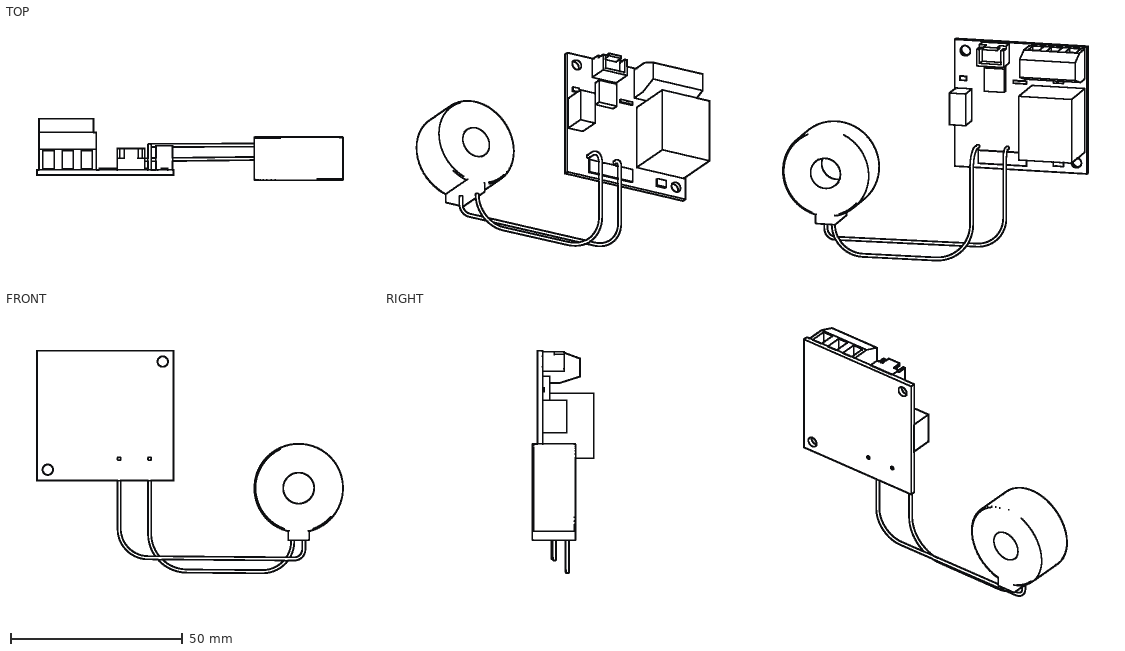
import cadquery as cq
import math


overall_width = 89.54
overall_depth = 18.02
overall_height = 65.12

board_width = 40.0
board_height = 38.0
board_thickness = 1.5
mount_hole_diameter = 3.0
mount_hole_inset = 3.2

relay_width = 16.0
relay_depth = 15.0
relay_height = 19.1
relay_left = 0.6
relay_bottom = 6.5

terminal_width = 16.8
terminal_left = 0.6
terminal_top = board_height - 0.5
terminal_height = 9.0
terminal_depth = 11.0
terminal_top_flat = 6.1
terminal_bottom_flat = 5.0
terminal_top_drop = 1.8
terminal_bottom_rise = 1.9
wire_entry_count = 3
wire_entry_pitch = 5.6
wire_entry_width = 3.3
wire_entry_height = 5.2
wire_entry_gap = 0.4
wire_entry_depth = 6.0

socket_left = 23.5
socket_width = 8.1
socket_depth = 6.35
socket_height = 5.75
socket_top = board_height - 0.3
socket_wall = 0.8
socket_floor = 3.4
socket_notch_width = 2.0

trimmer_left = 34.8
trimmer_width = 4.9
trimmer_depth = 7.1
trimmer_height = 9.5
trimmer_bottom = 14.0

chips = [
    (24.5, 23.5, 6.0, 7.0, 2.15),
    (7.0, 26.9, 3.0, 1.2, 0.85),
    (18.2, 26.0, 4.0, 0.8, 0.55),
    (7.0, 2.0, 3.0, 2.1, 0.85),
    (18.2, 1.4, 14.6, 3.9, 0.55),
    (36.3, 26.0, 2.0, 1.2, 0.55),
]

ring_diameter = 26.0
ring_bore = 9.0
ring_length = 12.7
ring_front = board_thickness + relay_depth - overall_depth
ring_x = overall_width - ring_diameter / 2
ring_z = -2.2
tab_width = 6.2
tab_reach = 15.3
ring_edge_fillet = 0.4

lead_diameter = 1.0
lead_hole_z = 6.4
lead_tab_depth = 3.1
leads = [
    dict(hole_x=24.05, hang_y=4.5, exit_bend=2.4, lower_bend=8.5, run_z=-22.55,
         run_end_z=-22.9, ring_bend=2.8, end_x=ring_x + 1.5, end_y=5.0),
    dict(hole_x=32.95, hang_y=8.7, exit_bend=5.0, lower_bend=11.0, run_z=-26.45,
         run_end_z=board_height - overall_height + lead_diameter / 2, ring_bend=8.8,
         end_x=ring_x - 1.75, end_y=8.8),
]


def box(left, front, bottom, width, depth, height):
    """Block placed by its left, front, bottom corner."""
    return cq.Workplane("XY").box(width, depth, height, centered=False).translate((left, front, bottom))


def on_board(left, bottom, width, depth, height):
    """Block standing on the component side of the board."""
    return box(left, board_thickness, bottom, width, depth, height)


def y_cylinder(x, z, diameter, front, length):
    """Cylinder along +Y."""
    axis_start = cq.Vector(x, front, z)
    return cq.Workplane(cq.Solid.makeCylinder(diameter / 2, length, axis_start, cq.Vector(0, 1, 0)))


def make_bare_board():
    board = box(0, 0, 0, board_width, board_thickness, board_height)
    mount_holes = [
        (mount_hole_inset, mount_hole_inset),
        (board_width - mount_hole_inset, board_height - mount_hole_inset),
    ]
    for x, z in mount_holes:
        board = board.cut(y_cylinder(x, z, mount_hole_diameter, 0, board_thickness))
    for lead in leads:
        board = board.cut(y_cylinder(lead["hole_x"], lead_hole_z, lead_diameter, 0, board_thickness))
    return board


def make_terminal_block():
    bottom = terminal_top - terminal_height
    back = board_thickness + terminal_depth
    profile = [
        (board_thickness, bottom),
        (board_thickness + terminal_bottom_flat, bottom),
        (back, bottom + terminal_bottom_rise),
        (back, terminal_top - terminal_top_drop),
        (board_thickness + terminal_top_flat, terminal_top),
        (board_thickness, terminal_top),
    ]
    block = cq.Workplane("YZ").polyline(profile).close().extrude(terminal_width)
    block = block.translate((terminal_left, 0, 0))
    centre = terminal_left + terminal_width / 2
    for index in range(wire_entry_count):
        entry_x = centre + (index - (wire_entry_count - 1) / 2) * wire_entry_pitch
        block = block.cut(box(
            entry_x - wire_entry_width / 2, board_thickness + wire_entry_gap, terminal_top - wire_entry_depth,
            wire_entry_width, wire_entry_height, wire_entry_depth))
    return block


def make_socket():
    bottom = socket_top - socket_height
    cavity_front = board_thickness + socket_floor
    cavity_depth = socket_depth - socket_floor
    socket = on_board(socket_left, bottom, socket_width, socket_depth, socket_height)
    socket = socket.cut(box(
        socket_left + socket_wall, cavity_front, bottom + socket_wall,
        socket_width - 2 * socket_wall, cavity_depth, socket_height - 2 * socket_wall))
    for notch_left in (socket_left, socket_left + socket_width - socket_notch_width):
        socket = socket.cut(box(
            notch_left, cavity_front, socket_top - socket_wall,
            socket_notch_width, cavity_depth, socket_wall))
    return socket


def make_board():
    board = make_bare_board()
    board = board.union(on_board(relay_left, relay_bottom, relay_width, relay_depth, relay_height))
    board = board.union(make_terminal_block())
    board = board.union(make_socket())
    board = board.union(on_board(trimmer_left, trimmer_bottom, trimmer_width, trimmer_depth, trimmer_height))
    for left, bottom, width, height, depth in chips:
        board = board.union(on_board(left, bottom, width, depth, height))
    return board


def make_ring():
    ring = y_cylinder(ring_x, ring_z, ring_diameter, ring_front, ring_length)
    tab = box(ring_x - tab_width / 2, ring_front, ring_z - tab_reach, tab_width, ring_length, tab_reach)
    tab = tab.faces("<Z").edges("|Y").fillet(ring_edge_fillet)
    ring = ring.union(tab).faces("<Y or >Y").edges().fillet(ring_edge_fillet)
    return ring.cut(y_cylinder(ring_x, ring_z, ring_bore, ring_front, ring_length))


def arc(start, corner, end):
    """Quarter bend from start to end, rounding off the corner."""
    centre = start + end - corner
    middle = centre + (corner - centre) * (1 / math.sqrt(2))
    return cq.Edge.makeThreePointArc(start, middle, end)


def make_lead(hole_x, hang_y, exit_bend, lower_bend, run_z, run_end_z, ring_bend, end_x, end_y):
    """Round lead from the bare face of the board, down, sideways and up into the ring tab."""
    board_end = cq.Vector(hole_x, 0, lead_hole_z)
    exit_start = cq.Vector(hole_x, hang_y - exit_bend, lead_hole_z)
    exit_corner = cq.Vector(hole_x, hang_y, lead_hole_z)
    hang_start = cq.Vector(hole_x, hang_y, lead_hole_z - exit_bend)
    hang_end = cq.Vector(hole_x, hang_y, run_z + lower_bend)
    lower_corner = cq.Vector(hole_x, hang_y, run_z)
    run_start = cq.Vector(hole_x + lower_bend, hang_y, run_z)
    run_end = cq.Vector(end_x - ring_bend, end_y, run_end_z)
    ring_corner = cq.Vector(end_x, end_y, run_end_z)
    rise_start = cq.Vector(end_x, end_y, run_end_z + ring_bend)
    ring_end = cq.Vector(end_x, end_y, ring_z - tab_reach + lead_tab_depth)
    path = cq.Wire.assembleEdges([
        cq.Edge.makeLine(board_end, exit_start),
        arc(exit_start, exit_corner, hang_start),
        cq.Edge.makeLine(hang_start, hang_end),
        arc(hang_end, lower_corner, run_start),
        cq.Edge.makeLine(run_start, run_end),
        arc(run_end, ring_corner, rise_start),
        cq.Edge.makeLine(rise_start, ring_end),
    ])
    section = cq.Workplane("XZ", origin=board_end.toTuple()).circle(lead_diameter / 2)
    return section.sweep(cq.Workplane(path), transition="transformed")


def make_transformer():
    transformer = make_ring()
    for lead in leads:
        transformer = transformer.union(make_lead(**lead))
    return transformer


relay_board = make_board()
current_transformer = make_transformer()
result = cq.Compound.makeCompound([relay_board.solids().val(), current_transformer.solids().val()])